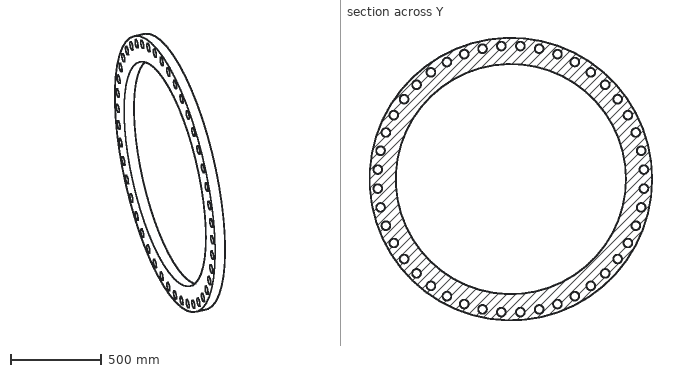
import cadquery as cq

outer_diameter = 1568.0
bore_diameter = 1275.0
thickness = 60.0

hole_count = 44
hole_diameter = 47.0
bolt_circle_diameter = 1479.0
hole_pitch_angle = 360.0 / hole_count


def make_ring():
    return (
        cq.Workplane("XZ")
        .circle(outer_diameter / 2)
        .circle(bore_diameter / 2)
        .extrude(thickness)
    )


def make_bolt_holes():
    return (
        cq.Workplane("XZ")
        .polarArray(bolt_circle_diameter / 2, hole_pitch_angle / 2, 360, hole_count)
        .circle(hole_diameter / 2)
        .extrude(thickness)
    )


result = make_ring().cut(make_bolt_holes())